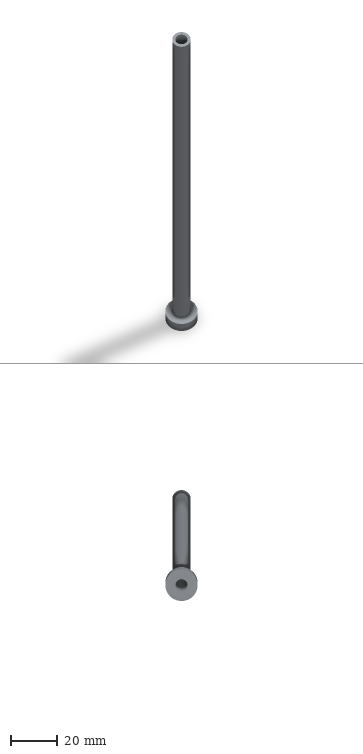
import cadquery as cq

TOTAL_LENGTH = 200.0
SHAFT_DIAMETER = 8.0
BORE_DIAMETER = 5.2

HEAD_DIAMETER = 14.0
HEAD_HEIGHT = 5.0

NECK_FILLET_RADIUS = 0.5


def make_head():
    """Flat disc with its lower face on Z = 0."""
    return cq.Workplane("XY").circle(HEAD_DIAMETER / 2).extrude(HEAD_HEIGHT)


def make_shaft():
    """Round shaft running the full length of the sleeve."""
    return cq.Workplane("XY").circle(SHAFT_DIAMETER / 2).extrude(TOTAL_LENGTH)


def fillet_neck(body):
    """Round the inside corner between the head's top face and the shaft."""
    smallest_edge = cq.selectors.RadiusNthSelector(0)
    return body.faces("<Z[1]").edges(smallest_edge).fillet(NECK_FILLET_RADIUS)


def cut_bore(body):
    """Cut the plain bore through the whole sleeve."""
    bore = cq.Workplane("XY").circle(BORE_DIAMETER / 2).extrude(TOTAL_LENGTH)
    return body.cut(bore)


sleeve = make_head().union(make_shaft())
sleeve = fillet_neck(sleeve)
result = cut_bore(sleeve)